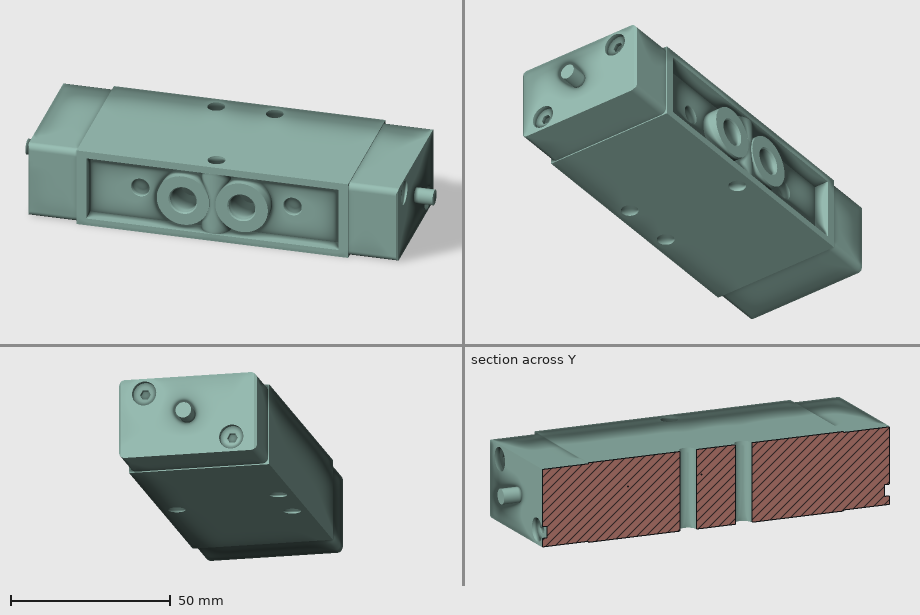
import cadquery as cq

body_length = 88.0
body_width = 45.0
body_height = 26.0

cap_span = 119.9
cap_width = 44.4
cap_height = 25.3
cap_edge_radius = 2.0
cap_chamfer_x = 0.5
cap_chamfer_y = 0.8

pin_span = 132.0
pin_diameter = 5.0

screw_y = 14.0
screw_z = 7.9
screw_recess_diameter = 7.8
screw_recess_depth = 1.7
socket_across_corners = 3.4
socket_depth = 1.3

pocket_length = 81.7
pocket_height = 21.3
pocket_depth = 5.0

port_spacing = 19.0
port_boss_diameter = 17.0
port_diameter = 8.6
port_mouth_diameter = 9.4
port_depth = 11.9

side_recess_spacing = 49.4
side_recess_diameter = 5.8
side_recess_mouth_diameter = 6.2
side_recess_floor_diameter = 4.0
side_recess_depth = 2.6

mount_hole_diameter = 5.5
mount_hole_y = 17.4
mount_post_diameter = 9.5

front_face_y = -body_width / 2
pocket_floor_y = front_face_y + pocket_depth


def cylinder_along_y(x, start_y, diameter, length):
    """Cylinder at height zero that runs from start_y toward +Y."""
    return cq.Workplane(cq.Solid.makeCylinder(
        diameter / 2, length, cq.Vector(x, start_y, 0), cq.Vector(0, 1, 0)))


def countersunk_hole(x, start_y, diameter, mouth_diameter, depth):
    """Blind hole toward +Y with a 45 degree countersink at its mouth."""
    countersink_depth = (mouth_diameter - diameter) / 2
    countersink = cq.Workplane(cq.Solid.makeCone(
        mouth_diameter / 2, diameter / 2, countersink_depth,
        cq.Vector(x, start_y, 0), cq.Vector(0, 1, 0)))
    return cylinder_along_y(x, start_y, diameter, depth).union(countersink)


def make_caps():
    """Both end caps as one rounded bar with chamfered upright end edges."""
    rounded_bar = (
        cq.Workplane("XY")
        .box(cap_span, cap_width, cap_height)
        .edges("|X")
        .fillet(cap_edge_radius)
    )
    end_x = cap_span / 2
    side_y = cap_width / 2
    corner_points = [
        (end_x - cap_chamfer_x, side_y),
        (end_x, side_y - cap_chamfer_y),
    ]
    right_points = corner_points + [(x, -y) for x, y in reversed(corner_points)]
    left_points = [(-x, y) for x, y in reversed(right_points)]
    chamfered_plan = (
        cq.Workplane("XY")
        .polyline(right_points + left_points)
        .close()
        .extrude(cap_height / 2, both=True)
    )
    return rounded_bar.intersect(chamfered_plan)


def make_cap_screw_recesses():
    """Screw recesses on one diagonal of each cap, mirrored end to end."""
    screw_places = [(-screw_y, screw_z), (screw_y, -screw_z)]
    recesses = (
        cq.Workplane("YZ", origin=(-cap_span / 2, 0, 0))
        .pushPoints(screw_places)
        .circle(screw_recess_diameter / 2)
        .extrude(screw_recess_depth)
    )
    sockets = (
        cq.Workplane("YZ", origin=(-cap_span / 2, 0, 0))
        .pushPoints(screw_places)
        .polygon(6, socket_across_corners)
        .extrude(screw_recess_depth + socket_depth)
    )
    one_end = recesses.union(sockets)
    return one_end.union(one_end.mirror("YZ"))


result = cq.Workplane("XY").box(body_length, body_width, body_height)
result = result.union(make_caps())
pins = cq.Workplane("YZ").circle(pin_diameter / 2).extrude(pin_span / 2, both=True)
result = result.union(pins)
result = result.cut(make_cap_screw_recesses())

pocket = cq.Workplane("XY").box(pocket_length, pocket_depth, pocket_height)
pocket = pocket.translate((0, front_face_y + pocket_depth / 2, 0))
post = (
    cq.Workplane("XY")
    .center(0, -mount_hole_y)
    .circle(mount_post_diameter / 2)
    .extrude(body_height / 2, both=True)
)
result = result.cut(pocket.cut(post))

port_places = [-port_spacing / 2, port_spacing / 2]
for port_x in port_places:
    result = result.union(
        cylinder_along_y(port_x, front_face_y, port_boss_diameter, pocket_depth))

result = result.cut(
    cq.Workplane("XY")
    .pushPoints([(0, -mount_hole_y)] + [(x, mount_hole_y) for x in port_places])
    .circle(mount_hole_diameter / 2)
    .extrude(body_height / 2, both=True)
)

for port_x in port_places:
    result = result.cut(
        countersunk_hole(port_x, front_face_y, port_diameter, port_mouth_diameter, port_depth))
for recess_x in [-side_recess_spacing / 2, side_recess_spacing / 2]:
    recess = countersunk_hole(
        recess_x, pocket_floor_y, side_recess_diameter, side_recess_mouth_diameter, side_recess_depth)
    floor_radius = (side_recess_diameter - side_recess_floor_diameter) / 2
    result = result.cut(recess.faces(">Y").edges().fillet(floor_radius))